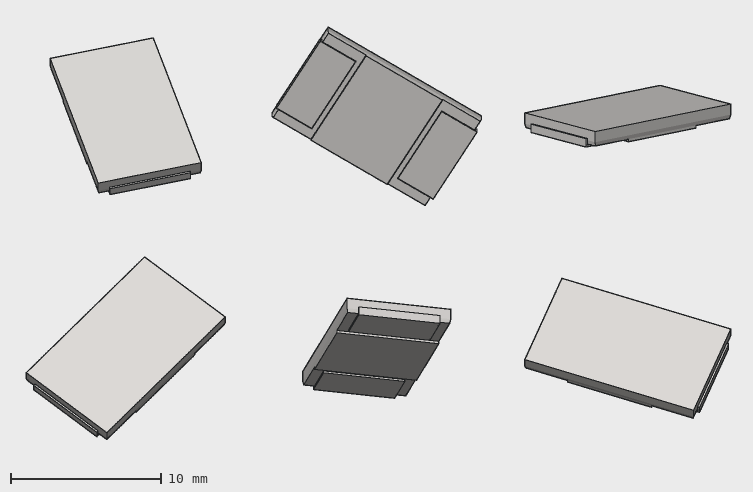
import cadquery as cq

overall_length = 12.24
overall_width = 7.11
overall_height = 1.19

strip_thickness = 0.13
terminal_width = 5.57
terminal_height = 0.58
terminal_foot_length = 2.77

housing_length = overall_length - 2 * strip_thickness
draft_top = 0.44
draft_bottom = 0.17
draft_inset = 0.058
foot_length = 5.97


def make_housing():
    """Block whose lower sides lean inward, standing on a central foot."""
    block = (
        cq.Workplane("XY", origin=(0, 0, draft_top))
        .rect(housing_length, overall_width)
        .extrude(overall_height - draft_top)
    )
    bottom_length = housing_length - 2 * draft_inset
    bottom_width = overall_width - 2 * draft_inset
    drafted_base = (
        cq.Workplane("XY", origin=(0, 0, draft_bottom))
        .rect(bottom_length, bottom_width)
        .workplane(offset=draft_top - draft_bottom)
        .rect(housing_length, overall_width)
        .loft(ruled=True)
    )
    foot = cq.Workplane("XY").rect(foot_length, bottom_width).extrude(draft_bottom)
    return block.union(drafted_base).union(foot)


def make_terminal(side):
    """L-shaped strip at one end; side is -1 for the -X end and +1 for the +X end."""
    outer_x = side * overall_length / 2
    inner_x = side * housing_length / 2
    foot_tip_x = side * (overall_length / 2 - terminal_foot_length)
    return (
        cq.Workplane("XZ")
        .moveTo(outer_x, 0)
        .lineTo(outer_x, terminal_height)
        .lineTo(inner_x, terminal_height)
        .lineTo(inner_x, strip_thickness)
        .lineTo(foot_tip_x, strip_thickness)
        .lineTo(foot_tip_x, 0)
        .close()
        .extrude(terminal_width / 2, both=True)
    )


housing = make_housing()
terminals = [make_terminal(side) for side in (-1, 1)]

result = cq.Compound.makeCompound(
    [housing.val(), *[terminal.val() for terminal in terminals]]
)